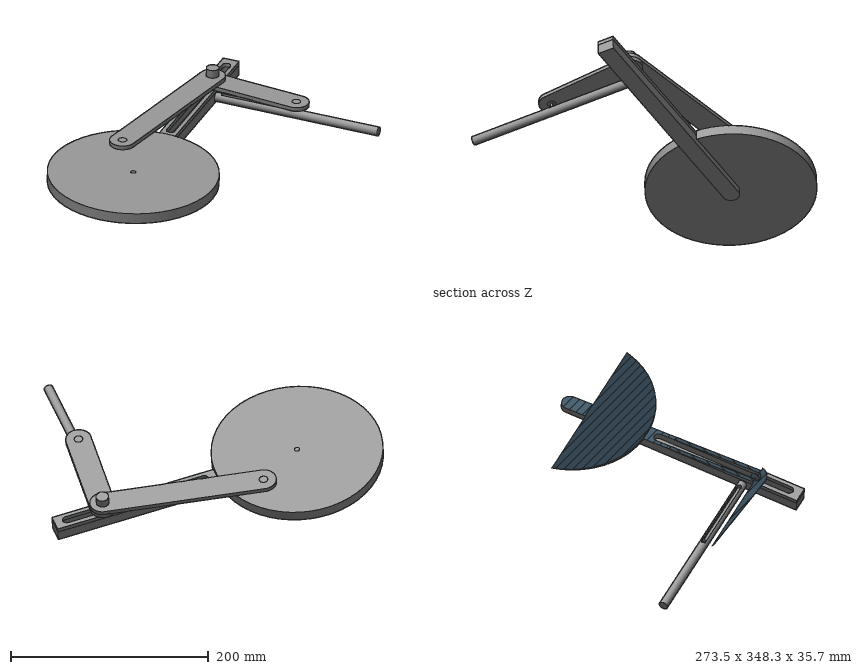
import cadquery as cq
import math

TILT_ANGLE = 2.62

DISC_RADIUS = 87.0
DISC_THICKNESS = 11.33
AXLE_DIAMETER = 5.2

BAR_WIDTH = 17.5
BAR_LENGTH = 174.3
BASE_HEIGHT = 11.33
TONGUE_HEIGHT = 7.0
PLATE_THICKNESS = 4.35

SLOT_WIDTH = 8.7
SLOT_END_MARGIN = 8.7
SLOT_FLOOR = 3.5

LINK_WIDTH = 26.0
LINK_THICKNESS = 4.35

SLIDER_PIN_DIAMETER = 13.0
SLIDER_PIN_STANDOUT = 8.7
SMALL_PIN_DIAMETER = 8.7
ROD_PIN_STEM_DIAMETER = 2.5

ROD_DIAMETER = 9.5
ROD_TIP_X = 186.5
ROD_SLOT_WIDTH = 4.2
ROD_SLOT_START_X = 14.5

AXLE = (0.0, 0.0)
CRANK_PIVOT = (-31.5, 47.5)
SLIDER_PIVOT = (0.87, 209.0)
ROD_PIVOT = (96.2, 200.5)

DISC_TOP = TONGUE_HEIGHT + DISC_THICKNESS
PLATE_TOP = BASE_HEIGHT + PLATE_THICKNESS
SHORT_LINK_TOP = PLATE_TOP + LINK_THICKNESS
LONG_LINK_TOP = SHORT_LINK_TOP + LINK_THICKNESS
BAR_MIDDLE = (0.0, DISC_RADIUS + BAR_LENGTH / 2)
ROD_AXIS_Z = BASE_HEIGHT / 2
ROD_ROOT_X = BAR_WIDTH / 2


def cylinder(center, diameter, bottom, top):
    """Upright cylinder between two levels."""
    return (
        cq.Workplane("XY", origin=(*center, bottom))
        .circle(diameter / 2)
        .extrude(top - bottom)
    )


def block(center, length, bottom, top):
    """Box of the bar's width, running along Y between two levels."""
    return (
        cq.Workplane("XY", origin=(*center, bottom))
        .rect(BAR_WIDTH, length)
        .extrude(top - bottom)
    )


def stadium(start, end, width, bottom, top):
    """Round-ended block whose end arcs are centred on the two given points."""
    span_x = end[0] - start[0]
    span_y = end[1] - start[1]
    middle = (start[0] + span_x / 2, start[1] + span_y / 2)
    angle = math.degrees(math.atan2(span_y, span_x))
    return (
        cq.Workplane("XY", origin=(*middle, bottom))
        .slot2D(math.hypot(span_x, span_y) + width, width, angle)
        .extrude(top - bottom)
    )


def guide_slot(bottom, top):
    """Volume of the slot along the bar that guides the slider pin."""
    end_offset = BAR_LENGTH / 2 - SLOT_END_MARGIN - SLOT_WIDTH / 2
    near_end = (BAR_MIDDLE[0], BAR_MIDDLE[1] - end_offset)
    far_end = (BAR_MIDDLE[0], BAR_MIDDLE[1] + end_offset)
    return stadium(near_end, far_end, SLOT_WIDTH, bottom, top)


def make_base():
    """Bar with a blind guide slot, a low tongue under the disc and the disc axle."""
    bar = block(BAR_MIDDLE, BAR_LENGTH, 0, BASE_HEIGHT)
    tongue = block((0, DISC_RADIUS / 2), DISC_RADIUS, 0, TONGUE_HEIGHT)
    tongue_end = cylinder(AXLE, BAR_WIDTH, 0, TONGUE_HEIGHT)
    axle = cylinder(AXLE, AXLE_DIAMETER, 0, DISC_TOP)
    base = bar.union(tongue).union(tongue_end).union(axle)
    return base.cut(guide_slot(SLOT_FLOOR, BASE_HEIGHT))


def make_guide_plate():
    """Slotted plate lying on the full-height part of the base."""
    plate = block(BAR_MIDDLE, BAR_LENGTH, BASE_HEIGHT, PLATE_TOP)
    return plate.cut(guide_slot(BASE_HEIGHT, PLATE_TOP))


def make_disc():
    """Disc with an axle hole and an upright crank pin."""
    disc = cylinder(AXLE, 2 * DISC_RADIUS, TONGUE_HEIGHT, DISC_TOP)
    disc = disc.cut(cylinder(AXLE, AXLE_DIAMETER, TONGUE_HEIGHT, DISC_TOP))
    return disc.union(cylinder(CRANK_PIVOT, SMALL_PIN_DIAMETER, DISC_TOP, LONG_LINK_TOP))


def make_link(small_pivot, top):
    """Flat link from a small pin to the slider pin, with a hole for each."""
    bottom = top - LINK_THICKNESS
    link = stadium(small_pivot, SLIDER_PIVOT, LINK_WIDTH, bottom, top)
    link = link.cut(cylinder(small_pivot, SMALL_PIN_DIAMETER, bottom, top))
    return link.cut(cylinder(SLIDER_PIVOT, SLIDER_PIN_DIAMETER, bottom, top))


def make_slider_pin():
    """Pin through both links, with a narrower neck that stands in the guide slot."""
    head = cylinder(SLIDER_PIVOT, SLIDER_PIN_DIAMETER, PLATE_TOP, LONG_LINK_TOP + SLIDER_PIN_STANDOUT)
    neck_diameter = SLOT_WIDTH - 2 * abs(SLIDER_PIVOT[0] - BAR_MIDDLE[0])
    return head.union(cylinder(SLIDER_PIVOT, neck_diameter, SLOT_FLOOR, PLATE_TOP))


def make_rod_pin():
    """Pin flush with the short link, with a thin stem that stands in the rod's slot."""
    head = cylinder(ROD_PIVOT, SMALL_PIN_DIAMETER, PLATE_TOP, SHORT_LINK_TOP)
    return head.union(cylinder(ROD_PIVOT, ROD_PIN_STEM_DIAMETER, ROD_AXIS_Z, PLATE_TOP))


def make_rod():
    """Round rod square to the bar, with a slot in its top that ends at the rod pin."""
    rod_y = ROD_PIVOT[1]
    rod = (
        cq.Workplane("YZ", origin=(ROD_ROOT_X, rod_y, ROD_AXIS_Z))
        .circle(ROD_DIAMETER / 2)
        .extrude(ROD_TIP_X - ROD_ROOT_X)
    )
    slot_start = (ROD_SLOT_START_X + ROD_SLOT_WIDTH / 2, rod_y)
    rod_top = ROD_AXIS_Z + ROD_DIAMETER / 2
    return rod.cut(stadium(slot_start, ROD_PIVOT, ROD_SLOT_WIDTH, ROD_AXIS_Z, rod_top))


base = make_base()
guide_plate = make_guide_plate()
disc = make_disc()
long_link = make_link(CRANK_PIVOT, LONG_LINK_TOP)
short_link = make_link(ROD_PIVOT, SHORT_LINK_TOP)
slider_pin = make_slider_pin()
rod_pin = make_rod_pin()
rod = make_rod()

bodies = [base, guide_plate, disc, long_link, short_link, slider_pin, rod_pin, rod]
result = cq.Compound.makeCompound(
    [body.rotate((0, 0, 0), (1, 0, 0), -TILT_ANGLE).val() for body in bodies]
)